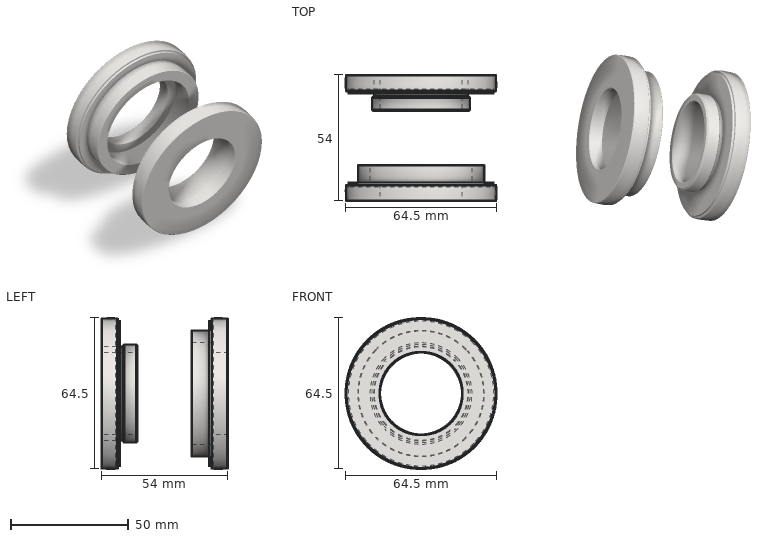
import cadquery as cq

outer_radius = 32.25
total_length = 54.0
bore_radius = 35.0 / 2

cover_depth = 7.0
cover_floor = 6.0
cover_edge_radius = 32.05
edge_chamfer = 0.25

disc_radius = 62.0 / 2
disc_face = 8.0
hub_end = 15.5

socket_hub_radius = 54.0 / 2
socket_radius = 43.5 / 2

sleeve_radius = 40.0 / 2
plug_radius = 42.0 / 2
neck_radius = 40.0 / 2
neck_end = 9.1
plug_end_radius = 40.5 / 2
plug_chamfer = plug_radius - plug_end_radius


def turn(profile):
    """Revolve an outline of (radius, distance) about the Y axis."""
    return profile.close().revolve(360, (0, 0, 0), (0, 1, 0))


def mate(half):
    """Turn a body to face the front half from the far end."""
    return half.rotate((0, 0, 0), (0, 0, 1), 180).translate((0, total_length, 0))


def make_cover(hole_radius):
    """Make a cover with a plain hole through its floor."""
    face_radius = cover_edge_radius - edge_chamfer
    return turn(
        cq.Workplane("XY")
        .moveTo(hole_radius, 0)
        .lineTo(face_radius, 0)
        .lineTo(cover_edge_radius, edge_chamfer)
        .threePointArc((outer_radius, cover_depth / 2), (cover_edge_radius, cover_depth - edge_chamfer))
        .lineTo(face_radius, cover_depth)
        .lineTo(disc_radius, cover_depth)
        .lineTo(disc_radius, cover_floor)
        .lineTo(hole_radius, cover_floor)
    )


def make_front_cover():
    """Make a cover whose hole is the bore, chamfered at the outer face."""
    cover = make_cover(bore_radius)
    bore_edge = cover.faces("<Y").edges(cq.selectors.RadiusNthSelector(0))
    return bore_edge.chamfer(edge_chamfer)


def make_socket_insert():
    """Make the disc and hub that receive the plug."""
    return turn(
        cq.Workplane("XY")
        .moveTo(socket_radius, cover_floor)
        .lineTo(disc_radius, cover_floor)
        .lineTo(disc_radius, disc_face)
        .lineTo(socket_hub_radius, disc_face)
        .lineTo(socket_hub_radius, hub_end - edge_chamfer)
        .lineTo(socket_hub_radius - edge_chamfer, hub_end)
        .lineTo(socket_radius, hub_end)
    )


def make_plug_insert():
    """Make the disc, the plug hub and the sleeve that carries the bore to the outer face."""
    return turn(
        cq.Workplane("XY")
        .moveTo(bore_radius + edge_chamfer, 0)
        .lineTo(sleeve_radius, 0)
        .lineTo(sleeve_radius, cover_floor)
        .lineTo(disc_radius, cover_floor)
        .lineTo(disc_radius, disc_face)
        .lineTo(neck_radius, disc_face)
        .lineTo(neck_radius, neck_end)
        .lineTo(plug_radius, neck_end + plug_chamfer)
        .lineTo(plug_radius, hub_end - plug_chamfer)
        .lineTo(plug_end_radius, hub_end)
        .lineTo(bore_radius + edge_chamfer, hub_end)
        .lineTo(bore_radius, hub_end - edge_chamfer)
        .lineTo(bore_radius, edge_chamfer)
    )


front_cover = make_front_cover()
socket_insert = make_socket_insert()
back_cover = mate(make_cover(sleeve_radius))
plug_insert = mate(make_plug_insert())

result = cq.Compound.makeCompound(
    [front_cover.val(), socket_insert.val(), back_cover.val(), plug_insert.val()]
)